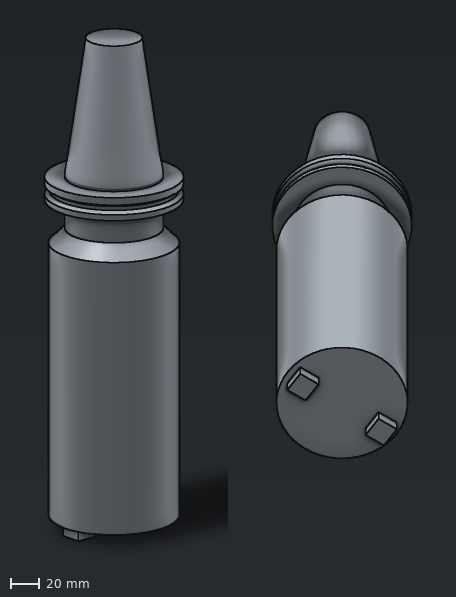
import cadquery as cq

total_height = 363.5
key_height = 8.7
shoulder_bottom = 211.3
neck_bottom = 222.2
flange_bottom = 243.3
flange_top = 260.5
taper_length = 101.5
gauge_line = total_height - taper_length

body_radius = 92.7 / 2
neck_radius = 70.0 / 2
flange_radius = 98.5 / 2
taper_ratio = 7 / 24
taper_tip_radius = neck_radius - taper_length * taper_ratio / 2

groove_depth = 3.5
groove_floor_radius = flange_radius - groove_depth
groove_bottom = 247.5
groove_floor_bottom = 250.0
groove_floor_top = 252.8
groove_top = 255.0

key_width = 16.5
key_length = 15.5
key_offset = 33.5


def make_holder():
    """Revolve the body, neck, grooved flange and taper about the Z axis."""
    profile = [
        (0, key_height),
        (body_radius, key_height),
        (body_radius, shoulder_bottom),
        (neck_radius, neck_bottom),
        (neck_radius, flange_bottom),
        (flange_radius, flange_bottom),
        (flange_radius, groove_bottom),
        (groove_floor_radius, groove_floor_bottom),
        (groove_floor_radius, groove_floor_top),
        (flange_radius, groove_top),
        (flange_radius, flange_top),
        (neck_radius, flange_top),
        (neck_radius, gauge_line),
        (taper_tip_radius, total_height),
        (0, total_height),
    ]
    return cq.Workplane("XZ").polyline(profile).close().revolve(360, (0, 0), (0, 1))


def make_keys():
    """Two rectangular drive keys below the body, on opposite sides along Y."""
    return (
        cq.Workplane("XY")
        .pushPoints([(0, -key_offset), (0, key_offset)])
        .rect(key_width, key_length)
        .extrude(key_height)
    )


result = make_holder().union(make_keys())